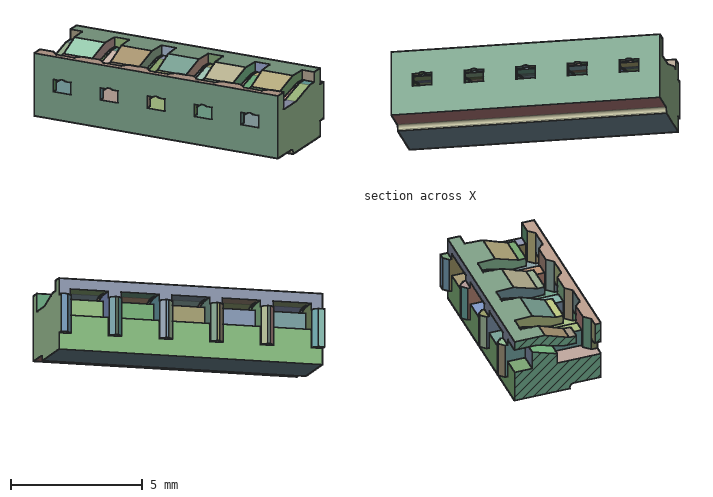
import cadquery as cq


contact_count = 5
pitch = 2.0
end_overhang = 0.2
length = contact_count * pitch + 2 * end_overhang
partition_width = 0.5
cavity_width = pitch - partition_width
cavity_centers = [(i - (contact_count - 1) / 2) * pitch for i in range(contact_count)]
partition_centers = [x + pitch / 2 for x in cavity_centers[:-1]]

height = 2.75
body_depth = 3.5
front_wall = 0.5
step_depth = 1.25
step_height = 0.22
step_fillet = 0.15
back_wall_front = 3.0

partition_low_z = 2.05
partition_high_z = 2.35
partition_slope_front = 1.5
partition_slope_back = 2.63

finger_tip_y = 1.0
finger_tip_z = 2.41
finger_slope_front = 1.3
finger_slope_back = 2.28
finger_root_width = 1.38
finger_tip_width = 1.18

floor_z = 1.335
pocket_front = 0.25
pocket_back_width = 1.25
pocket_front_width = 0.76

ramp_front = 1.77
ramp_back = 2.79
ramp_face_top = 1.77
ramp_high_z = 2.1

window_width = 0.75
window_bottom = floor_z
window_top = 1.82
notch_width = 0.26
notch_height = 0.05

nose_bottom = 0.63
nose_top = 2.1
nose_side_y = 3.6
nose_tip_y = 3.8
nose_tip_width = 0.1


def side_prism(outline, center_x, width):
    """Extrude a closed (y, z) outline along X, centred on center_x."""
    return cq.Workplane("YZ", origin=(center_x - width / 2, 0, 0)).polyline(outline).close().extrude(width)


def plan_prism(outline, bottom, top):
    """Extrude a closed (x, y) outline between two heights."""
    return cq.Workplane("XY", origin=(0, 0, bottom)).polyline(outline).close().extrude(top - bottom)


def make_body():
    """Solid housing with the trough for the fingers along its top and a rounded step below."""
    section = (
        cq.Workplane("YZ", origin=(-length / 2, 0, 0))
        .moveTo(0, step_height)
        .lineTo(step_depth - step_fillet, step_height)
        .radiusArc((step_depth, step_height - step_fillet), step_fillet)
        .lineTo(step_depth, 0)
        .lineTo(body_depth, 0)
        .lineTo(body_depth, height)
        .lineTo(back_wall_front, height)
        .lineTo(back_wall_front, partition_high_z)
        .lineTo(partition_slope_back, partition_high_z)
        .lineTo(partition_slope_front, partition_low_z)
        .lineTo(front_wall, partition_low_z)
        .lineTo(front_wall, height)
        .lineTo(0, height)
        .close()
    )
    return section.extrude(length)


def make_nose(center_x):
    """Pointed nose behind a partition between two cavities."""
    half_base = partition_width / 2
    half_tip = nose_tip_width / 2
    outline = [
        (center_x - half_base, body_depth),
        (center_x + half_base, body_depth),
        (center_x + half_base, nose_side_y),
        (center_x + half_tip, nose_tip_y),
        (center_x - half_tip, nose_tip_y),
        (center_x - half_base, nose_side_y),
    ]
    return plan_prism(outline, nose_bottom, nose_top)


def make_end_nose(side):
    """Nose behind an end wall (side is -1 or 1), chamfered only toward the cavities."""
    outer_x = side * length / 2
    wall_center = side * contact_count * pitch / 2
    inner_x = wall_center - side * partition_width / 2
    tip_x = wall_center - side * nose_tip_width / 2
    outline = [
        (outer_x, body_depth),
        (inner_x, body_depth),
        (inner_x, nose_side_y),
        (tip_x, nose_tip_y),
        (outer_x, nose_tip_y),
    ]
    return plan_prism(outline, nose_bottom, nose_top)


def make_cavity(center_x):
    """Space for one contact: the chamber, the flared pocket in the front wall and the window."""
    chamber = side_prism(
        [
            (front_wall, floor_z),
            (body_depth, floor_z),
            (body_depth, partition_high_z),
            (partition_slope_back, partition_high_z),
            (partition_slope_front, partition_low_z),
            (front_wall, partition_low_z),
        ],
        center_x,
        cavity_width,
    )
    pocket = plan_prism(
        [
            (center_x - pocket_back_width / 2, front_wall),
            (center_x - pocket_front_width / 2, pocket_front),
            (center_x + pocket_front_width / 2, pocket_front),
            (center_x + pocket_back_width / 2, front_wall),
        ],
        floor_z,
        height,
    )
    return chamber.union(pocket).union(make_window(center_x))


def make_window(center_x):
    """Rectangular window in the front wall with a shallow arched notch in its top edge."""
    window = (
        cq.Workplane("XZ", origin=(center_x, 0, 0))
        .moveTo(-window_width / 2, window_bottom)
        .lineTo(window_width / 2, window_bottom)
        .lineTo(window_width / 2, window_top)
        .lineTo(notch_width / 2, window_top)
        .threePointArc((0, window_top + notch_height), (-notch_width / 2, window_top))
        .lineTo(-window_width / 2, window_top)
        .close()
    )
    return window.extrude(-pocket_front)


def make_ramp(center_x):
    """Ramp across the cavity floor, rising toward the back."""
    return side_prism(
        [
            (ramp_front, floor_z),
            (ramp_front, ramp_face_top),
            (ramp_back, ramp_high_z),
            (ramp_back, floor_z),
        ],
        center_x,
        cavity_width,
    )


def make_finger(center_x):
    """Bent finger over one cavity, narrowing from the back wall to its tip."""
    section = side_prism(
        [
            (back_wall_front, partition_high_z),
            (back_wall_front, height),
            (finger_slope_back, height),
            (finger_slope_front, finger_tip_z),
            (finger_tip_y, finger_tip_z),
            (finger_tip_y, partition_low_z),
            (partition_slope_front, partition_low_z),
            (partition_slope_back, partition_high_z),
        ],
        center_x,
        finger_root_width,
    )
    plan = plan_prism(
        [
            (center_x - finger_root_width / 2, back_wall_front),
            (center_x - finger_tip_width / 2, finger_tip_y),
            (center_x + finger_tip_width / 2, finger_tip_y),
            (center_x + finger_root_width / 2, back_wall_front),
        ],
        partition_low_z,
        height,
    )
    return section.intersect(plan)


result = make_body()
for partition_x in partition_centers:
    result = result.union(make_nose(partition_x))
for end_side in (-1, 1):
    result = result.union(make_end_nose(end_side))
for cavity_x in cavity_centers:
    result = result.cut(make_cavity(cavity_x))
    result = result.union(make_ramp(cavity_x)).union(make_finger(cavity_x))